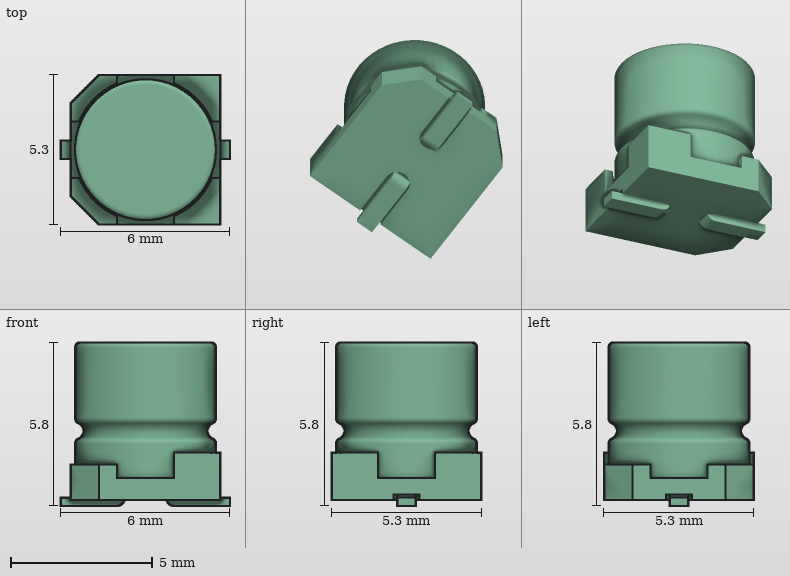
import cadquery as cq
import math

overall_length = 6.0
overall_height = 5.8

base_side = 5.3
base_bottom = 0.21
floor_height = 0.995
low_corner_top = 1.48
high_corner_top = 1.895
corner_chamfer = 1.0
notch_width = 2.01
seat_radius = 2.55

can_radius = 2.495
can_edge_fillet = 0.2
groove_height = 2.665
groove_radius = 0.3
groove_lip_radius = 0.2

lead_width = 0.665
lead_thickness = 0.3
lead_inner_end = 0.73
lead_outer_bend = 0.3
lead_inner_bend = 0.3
slot_width = 0.91
slot_top = 0.42


def make_base():
    """Square base with two -X corners cut off, a floor and four raised corners."""
    blank = (
        cq.Workplane("XY", origin=(0, 0, base_bottom))
        .rect(base_side, base_side)
        .extrude(high_corner_top - base_bottom)
        .edges("|Z and <X")
        .chamfer(corner_chamfer)
    )
    low_side = (
        cq.Workplane("XY", origin=(-base_side / 2, 0, low_corner_top))
        .rect(base_side, base_side)
        .extrude(high_corner_top - low_corner_top)
    )
    above_floor = cq.Workplane("XY", origin=(0, 0, floor_height))
    clear_height = high_corner_top - floor_height
    notch_along_x = above_floor.rect(base_side, notch_width).extrude(clear_height)
    notch_along_y = above_floor.rect(notch_width, base_side).extrude(clear_height)
    seat = above_floor.circle(seat_radius).extrude(clear_height)
    return blank.cut(low_side).cut(notch_along_x).cut(notch_along_y).cut(seat)


def make_can():
    """Can standing on the base floor, with a rounded top edge and a rolled groove."""
    circle_distance = groove_radius + groove_lip_radius
    lip_rise = math.sqrt(circle_distance**2 - groove_lip_radius**2)
    lip_centre_radius = can_radius - groove_lip_radius
    touch_share = groove_radius / circle_distance
    touch_radius = can_radius - groove_lip_radius * touch_share
    touch_rise = lip_rise * touch_share

    lip_half_angle = math.asin(lip_rise / circle_distance) / 2
    lip_mid_radius = lip_centre_radius + groove_lip_radius * math.cos(lip_half_angle)
    lip_mid_rise = lip_rise - groove_lip_radius * math.sin(lip_half_angle)

    fillet_diagonal = can_edge_fillet * (1 - math.sqrt(0.5))
    profile = (
        cq.Workplane("XZ")
        .moveTo(0, floor_height)
        .lineTo(can_radius, floor_height)
        .lineTo(can_radius, groove_height - lip_rise)
        .threePointArc(
            (lip_mid_radius, groove_height - lip_mid_rise),
            (touch_radius, groove_height - touch_rise),
        )
        .threePointArc(
            (can_radius - groove_radius, groove_height),
            (touch_radius, groove_height + touch_rise),
        )
        .threePointArc(
            (lip_mid_radius, groove_height + lip_mid_rise),
            (can_radius, groove_height + lip_rise),
        )
        .lineTo(can_radius, overall_height - can_edge_fillet)
        .threePointArc(
            (can_radius - fillet_diagonal, overall_height - fillet_diagonal),
            (can_radius - can_edge_fillet, overall_height),
        )
        .lineTo(0, overall_height)
        .close()
    )
    return profile.revolve(360, (0, 0, 0), (0, 1, 0))


def make_lead_slot():
    """Round-ended slot in the underside of the base, open at the +X side."""
    round_end_centre = lead_inner_end + lead_width / 2
    straight_length = overall_length / 2 - round_end_centre
    slot_height = slot_top - base_bottom
    slot_plane = cq.Workplane("XY", origin=(round_end_centre, 0, base_bottom))
    round_end = slot_plane.circle(slot_width / 2).extrude(slot_height)
    straight = slot_plane.center(straight_length / 2, 0).rect(straight_length, slot_width)
    return straight.extrude(slot_height).union(round_end)


def make_lead():
    """Flat lead on the +X side that bends up into the base at its inner end."""
    lead_end = overall_length / 2
    leg_outside = lead_inner_end + lead_thickness
    leg_top = lead_thickness + lead_inner_bend
    return (
        cq.Workplane("XZ")
        .moveTo(lead_end, 0)
        .lineTo(lead_inner_end + lead_outer_bend, 0)
        .radiusArc((lead_inner_end, lead_outer_bend), lead_outer_bend)
        .lineTo(lead_inner_end, leg_top)
        .lineTo(leg_outside, leg_top)
        .radiusArc((leg_outside + lead_inner_bend, lead_thickness), -lead_inner_bend)
        .lineTo(lead_end, lead_thickness)
        .close()
        .extrude(lead_width / 2, both=True)
    )


result = make_base().union(make_can())
for side_angle in (0, 180):
    result = result.cut(make_lead_slot().rotate((0, 0, 0), (0, 0, 1), side_angle))
    result = result.union(make_lead().rotate((0, 0, 0), (0, 0, 1), side_angle))